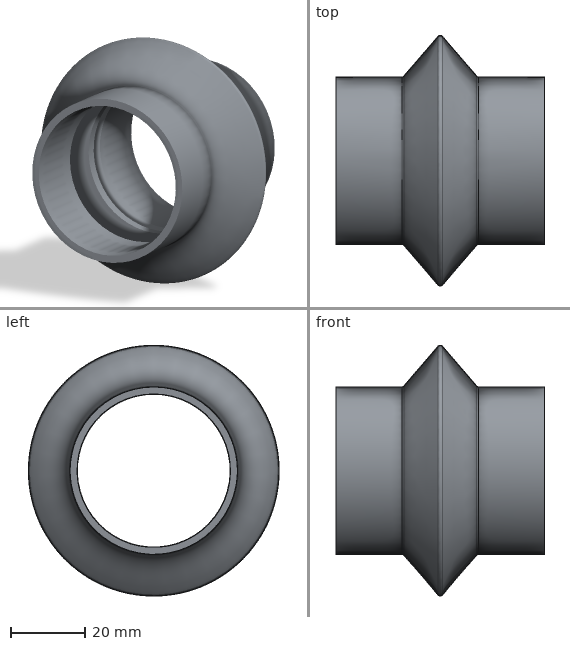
import cadquery as cq
import math

length = 56.0
crown_radius = 33.65
tube_radius = 22.5
wall = 1.95
bulge_half_width = 9.95
crown_round = 0.8
root_round = 0.55
ring_start = -5.25
ring_width = 3.0

rounded_height = crown_radius - tube_radius - crown_round
root_distance = math.hypot(bulge_half_width, rounded_height)
slope = math.atan2(rounded_height, bulge_half_width) + math.asin(crown_round / root_distance)
apex_radius = tube_radius + bulge_half_width * math.tan(slope)

bore_radius = tube_radius - wall
inner_half_width = bulge_half_width - wall * math.tan(slope / 2)
inner_apex_radius = bore_radius + inner_half_width * math.tan(slope)


def cavity_radius(x):
    """Radius of the conical inside wall of the bulge at axial position x."""
    return inner_apex_radius - abs(x) * math.tan(slope)


def revolve_about_x(profile):
    return profile.close().revolve(360, (0, 0, 0), (1, 0, 0))


def make_housing():
    """Tube with a hollow double-cone bulge in the middle and a rounded crown."""
    end = length / 2
    outer = revolve_about_x(
        cq.Workplane("XZ")
        .moveTo(-end, 0)
        .lineTo(-end, tube_radius)
        .lineTo(-bulge_half_width, tube_radius)
        .lineTo(0, apex_radius)
        .lineTo(bulge_half_width, tube_radius)
        .lineTo(end, tube_radius)
        .lineTo(end, 0)
    )
    cavity = revolve_about_x(
        cq.Workplane("XZ")
        .moveTo(-end, 0)
        .lineTo(-end, bore_radius)
        .lineTo(-inner_half_width, bore_radius)
        .lineTo(0, inner_apex_radius)
        .lineTo(inner_half_width, bore_radius)
        .lineTo(end, bore_radius)
        .lineTo(end, 0)
    )
    outer = outer.edges(cq.selectors.RadiusNthSelector(-1)).fillet(crown_round)
    for root_x in (-bulge_half_width, bulge_half_width):
        root_zone = cq.selectors.BoxSelector(
            (root_x - root_round, -length, -length),
            (root_x + root_round, length, length),
            boundingbox=True,
        )
        outer = outer.edges(root_zone).fillet(root_round)
    return outer.cut(cavity)


def make_ring():
    """Flat ring whose conical rim seats against the inside wall of the bulge."""
    ring_end = ring_start + ring_width
    return revolve_about_x(
        cq.Workplane("XZ")
        .moveTo(ring_start, bore_radius)
        .lineTo(ring_start, cavity_radius(ring_start))
        .lineTo(ring_end, cavity_radius(ring_end))
        .lineTo(ring_end, bore_radius)
    )


housing = make_housing()
ring = make_ring()
result = cq.Compound.makeCompound([housing.val(), ring.val()])